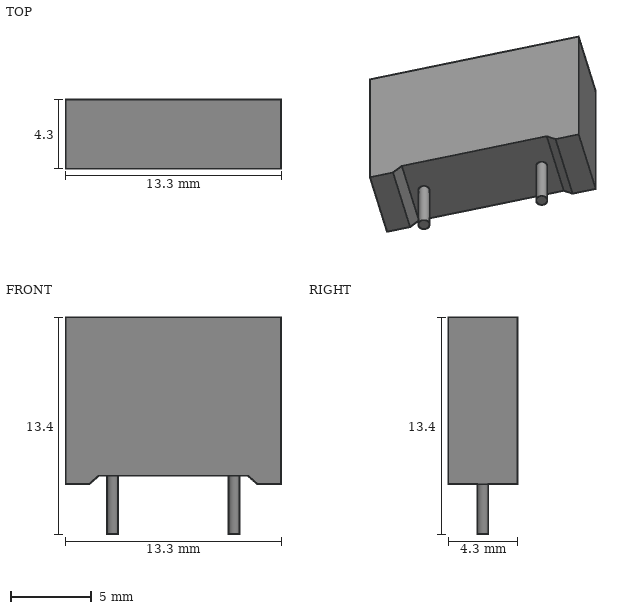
import cadquery as cq

case_length = 13.3
case_width = 4.3
overall_height = 13.4
foot_height = 3.1

recess_depth = 0.5
foot_length = 1.47
foot_slope = 0.56

pin_diameter = 0.7
pin_spacing = 7.5
pin_length = foot_height + recess_depth


def make_case():
    """Rectangular case with a sloped-sided recess across its underside."""
    half_length = case_length / 2
    recess_half_bottom = half_length - foot_length
    recess_half_top = recess_half_bottom - foot_slope
    profile = [
        (-half_length, foot_height),
        (-recess_half_bottom, foot_height),
        (-recess_half_top, pin_length),
        (recess_half_top, pin_length),
        (recess_half_bottom, foot_height),
        (half_length, foot_height),
        (half_length, overall_height),
        (-half_length, overall_height),
    ]
    return cq.Workplane("XZ").polyline(profile).close().extrude(case_width / 2, both=True)


def make_pin(x):
    """Round pin standing on Z = 0, with its top against the recess ceiling."""
    return cq.Workplane("XY").center(x, 0).circle(pin_diameter / 2).extrude(pin_length)


case = make_case()
pins = [make_pin(side * pin_spacing / 2) for side in (-1, 1)]

result = cq.Compound.makeCompound([case.val(), *[pin.val() for pin in pins]])